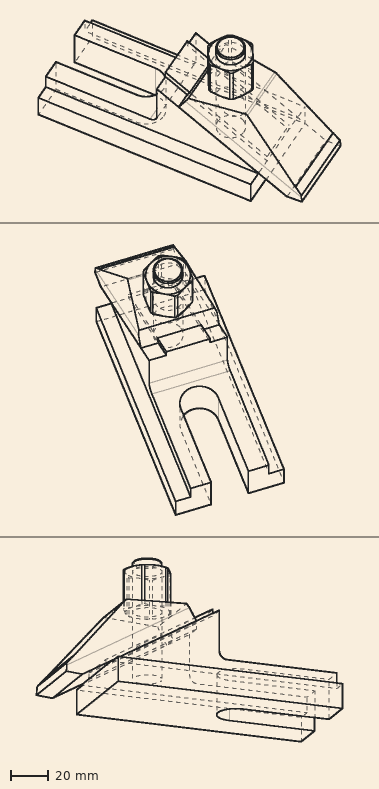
import math

import cadquery as cq

BASE_LENGTH = 129.8
BASE_WIDTH = 62.0
FLANGE_HEIGHT = 14.0
RAIL_WIDTH = 44.7
RAIL_HEIGHT = 22.8
WEDGE_START = 67.9
WEDGE_HEIGHT = 50.4
WEDGE_ANGLE = 30.0
WEDGE_ROOT_RADIUS = 4.4
SLOT_WIDTH = 21.3
SLOT_LENGTH = 60.0
TONGUE_WIDTH = 25.0
TONGUE_RISE = 3.6

JAW_HEEL_X = 81.2
JAW_HEEL_LENGTH = 11.0
JAW_CREST_X = 119.6
JAW_CREST_RADIUS = 1.7
JAW_TIP_HEIGHT = 4.8
JAW_FRONT_ANGLE = 49.3
LIP_LENGTH = 6.0
LIP_RISE = 0.2
NOSE_START_X = 147.2
NOSE_TILT = 4.0
NOSE_END_X = 156.4
SIDE_HEIGHT = 8.3
SIDE_TAPER = 16.5

STUD_X = 101.0
STUD_DIAMETER = 16.0
STUD_TIP_DIAMETER = 14.4
STUD_TOP = 80.4
STUD_BOTTOM = FLANGE_HEIGHT
NUT_HEIGHT = 23.0
NUT_ACROSS_FLATS = 24.1
NUT_CORNER_DIAMETER = 26.9
NUT_SIDES = 6
NUT_CHAMFER_ANGLE = 20.0

SLOPE = math.tan(math.radians(WEDGE_ANGLE))
SLOPE_COSINE = math.cos(math.radians(WEDGE_ANGLE))
SLOPE_SINE = math.sin(math.radians(WEDGE_ANGLE))


def slope_height(x):
    """Height of the wedge slope at a given X."""
    return WEDGE_HEIGHT - (x - WEDGE_START) * SLOPE


JAW_HEEL_Z = slope_height(JAW_HEEL_X)
JAW_TOP_X = JAW_HEEL_X + JAW_HEEL_LENGTH * SLOPE_SINE
JAW_TOP_Z = JAW_HEEL_Z + JAW_HEEL_LENGTH * SLOPE_COSINE


def extrude_profile(points, width):
    """Closed XZ outline extruded symmetrically about the plane Y = 0."""
    return cq.Workplane("XZ").polyline(points).close().extrude(width / 2, both=True)


def make_tongue():
    """Guide tongue that runs along the full wedge slope."""
    return extrude_profile(
        [
            (WEDGE_START, RAIL_HEIGHT),
            (BASE_LENGTH, FLANGE_HEIGHT),
            (BASE_LENGTH, slope_height(BASE_LENGTH) + TONGUE_RISE),
            (WEDGE_START, WEDGE_HEIGHT + TONGUE_RISE),
        ],
        TONGUE_WIDTH,
    )


def make_stud():
    """Vertical stud with a chamfered tip."""
    tip_chamfer = (STUD_DIAMETER - STUD_TIP_DIAMETER) / 2
    return (
        cq.Workplane("XY", origin=(STUD_X, 0, STUD_BOTTOM))
        .circle(STUD_DIAMETER / 2)
        .extrude(STUD_TOP - STUD_BOTTOM)
        .faces(">Z")
        .chamfer(tip_chamfer)
    )


def make_base(tongue, stud):
    """Flanged base with its wedge, guide tongue, open slot and stud hole."""
    flange = cq.Workplane("XY").box(
        BASE_LENGTH, BASE_WIDTH, FLANGE_HEIGHT, centered=(False, True, False)
    )
    rail = extrude_profile(
        [
            (0, 0),
            (BASE_LENGTH, 0),
            (BASE_LENGTH, slope_height(BASE_LENGTH)),
            (WEDGE_START, WEDGE_HEIGHT),
            (WEDGE_START, RAIL_HEIGHT),
            (0, RAIL_HEIGHT),
        ],
        RAIL_WIDTH,
    )
    wedge_root = cq.selectors.NearestToPointSelector((WEDGE_START, 0, RAIL_HEIGHT))
    rail = rail.edges(wedge_root).fillet(WEDGE_ROOT_RADIUS)

    slot_center_x = SLOT_LENGTH - SLOT_WIDTH / 2
    slot = (
        cq.Workplane("XY")
        .moveTo(0, -SLOT_WIDTH / 2)
        .lineTo(slot_center_x, -SLOT_WIDTH / 2)
        .threePointArc((SLOT_LENGTH, 0), (slot_center_x, SLOT_WIDTH / 2))
        .lineTo(0, SLOT_WIDTH / 2)
        .close()
        .extrude(RAIL_HEIGHT)
    )
    return flange.union(rail).union(tongue).cut(slot).cut(stud)


def side_taper_cutter(side):
    """Wedge that trims one jaw side (+1 or -1 in Y) inward above its untapered strip."""
    reach = NOSE_END_X
    inset = reach * math.tan(math.radians(SIDE_TAPER))
    half_width = RAIL_WIDTH / 2
    strip_top = cq.Plane(
        origin=(
            JAW_HEEL_X + SIDE_HEIGHT * SLOPE_SINE,
            0,
            JAW_HEEL_Z + SIDE_HEIGHT * SLOPE_COSINE,
        ),
        xDir=(0, 1, 0),
        normal=(SLOPE_COSINE, 0, -SLOPE_SINE),
    )
    return (
        cq.Workplane(strip_top)
        .moveTo(side * half_width, 0)
        .lineTo(side * (half_width - inset), reach)
        .lineTo(side * half_width, reach)
        .close()
        .extrude(reach, both=True)
    )


def make_jaw(tongue, stud):
    """Clamping jaw with tapered sides, a groove for the tongue and a stud hole."""
    tilt = math.tan(math.radians(NOSE_TILT))
    nose_bottom_z = slope_height(NOSE_START_X) + (NOSE_END_X - NOSE_START_X) * tilt
    tip_x = NOSE_END_X - JAW_TIP_HEIGHT * tilt
    tip_z = nose_bottom_z + JAW_TIP_HEIGHT

    front_angle = math.radians(JAW_FRONT_ANGLE)
    lip_top_x = tip_x - LIP_LENGTH * math.cos(front_angle)
    lip_top_z = tip_z + LIP_LENGTH * math.sin(front_angle)
    lip_foot_x = lip_top_x - LIP_RISE * math.sin(front_angle)
    lip_foot_z = lip_top_z - LIP_RISE * math.cos(front_angle)

    jaw = extrude_profile(
        [
            (JAW_HEEL_X, JAW_HEEL_Z),
            (NOSE_START_X, slope_height(NOSE_START_X)),
            (NOSE_END_X, nose_bottom_z),
            (tip_x, tip_z),
            (lip_top_x, lip_top_z),
            (lip_foot_x, lip_foot_z),
            (JAW_CREST_X, JAW_TOP_Z),
            (JAW_TOP_X, JAW_TOP_Z),
        ],
        RAIL_WIDTH,
    )
    crest = cq.selectors.NearestToPointSelector((JAW_CREST_X, 0, JAW_TOP_Z))
    jaw = jaw.edges(crest).fillet(JAW_CREST_RADIUS)
    for side in (-1, 1):
        jaw = jaw.cut(side_taper_cutter(side))
    return jaw.cut(tongue).cut(stud)


def make_nut(stud):
    """Tall hexagon nut resting on the jaw top, bored to the stud."""
    hexagon = (
        cq.Workplane("XY", origin=(STUD_X, 0, JAW_TOP_Z))
        .transformed(rotate=(0, 0, 180 / NUT_SIDES))
        .polygon(NUT_SIDES, NUT_ACROSS_FLATS, circumscribed=True)
        .extrude(NUT_HEIGHT)
    )
    face_radius = NUT_ACROSS_FLATS / 2
    corner_radius = NUT_CORNER_DIAMETER / 2
    chamfer_height = (corner_radius - face_radius) * math.tan(math.radians(NUT_CHAMFER_ANGLE))
    envelope = (
        cq.Workplane("XZ", origin=(STUD_X, 0, JAW_TOP_Z))
        .polyline(
            [
                (0, 0),
                (face_radius, 0),
                (corner_radius, chamfer_height),
                (corner_radius, NUT_HEIGHT - chamfer_height),
                (face_radius, NUT_HEIGHT),
                (0, NUT_HEIGHT),
            ]
        )
        .close()
        .revolve(360, (0, 0, 0), (0, 1, 0))
    )
    return hexagon.intersect(envelope).cut(stud)


guide_tongue = make_tongue()
stud = make_stud()
base = make_base(guide_tongue, stud)
jaw = make_jaw(guide_tongue, stud)
nut = make_nut(stud)

result = cq.Compound.makeCompound([base.val(), jaw.val(), stud.val(), nut.val()])